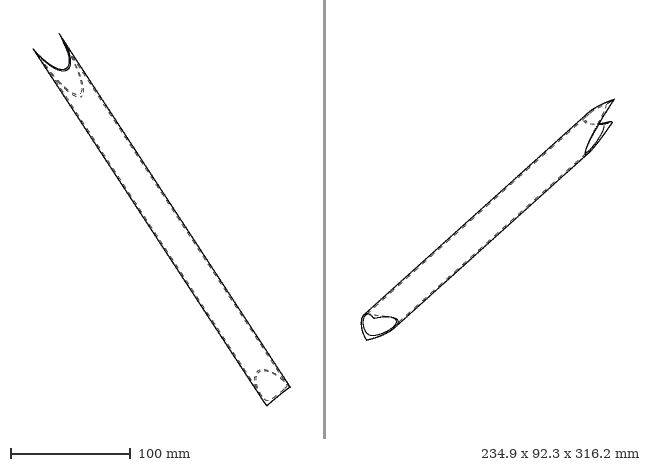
import cadquery as cq

tube_radius = 12.5
wall = 1.3
mating_radius = tube_radius
overrun = 63.2
cutter_length = 253.0
block_depth = 126.5

upper_joint = cq.Vector(-114.7, -34.5, 161.0)
lower_joint = cq.Vector(112.2, 33.5, -150.8)

upper_level_axis = cq.Vector(0.99, -0.02, -0.12)
upper_steep_axis = cq.Vector(-0.25, -0.27, 0.93)
lower_mating_axis = cq.Vector(1.0, 0.0, 0.0)

tube_axis = (lower_joint - upper_joint).normalized()


def make_tube():
    """Hollow tube running past both joint centres."""
    start = upper_joint - tube_axis * overrun
    length = (lower_joint - upper_joint).Length + 2 * overrun
    plane = cq.Plane(origin=start, normal=tube_axis)
    return cq.Workplane(plane).circle(tube_radius).circle(tube_radius - wall).extrude(length)


def make_cope(joint, mating_axis, outward):
    """Mating cylinder joined to the block that lies outward of its axis."""
    across = mating_axis.cross(outward)
    start = joint - mating_axis.normalized() * (cutter_length / 2)
    section = cq.Workplane(cq.Plane(origin=start, xDir=across, normal=mating_axis))
    cylinder = section.circle(mating_radius).extrude(cutter_length)
    block = section.rect(cutter_length, block_depth).extrude(cutter_length)
    block = block.translate(mating_axis.cross(across).normalized() * (-block_depth / 2))
    return cylinder.union(block)


copes = [
    make_cope(upper_joint, upper_level_axis, -tube_axis),
    make_cope(upper_joint, upper_steep_axis, -tube_axis),
    make_cope(lower_joint, lower_mating_axis, tube_axis),
]

result = make_tube()
for cope in copes:
    result = result.cut(cope)